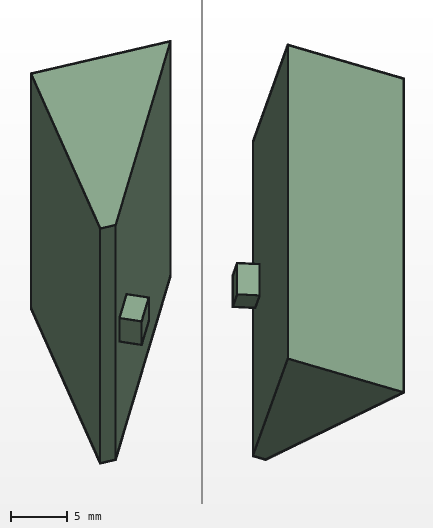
import cadquery as cq
import math

width = 20.0
depth = 13.0
height = 30.0
slope_angle = 30.0
thin_end = depth - width * math.tan(math.radians(slope_angle))

boss_side = 3.0
boss_projection = 2.0
boss_end_gap = 1.6

wedge = (
    cq.Workplane("XY")
    .polyline([(0, 0), (width, 0), (width, thin_end), (0, depth)])
    .close()
    .extrude(height)
)

slope = math.radians(slope_angle)
slope_plane = cq.Plane(
    origin=(width, thin_end, height / 2),
    xDir=(-math.cos(slope), math.sin(slope), 0),
    normal=(math.sin(slope), math.cos(slope), 0),
)
boss = (
    cq.Workplane(slope_plane)
    .center(boss_end_gap + boss_side / 2, 0)
    .rect(boss_side, boss_side)
    .extrude(boss_projection)
)

result = wedge.union(boss)